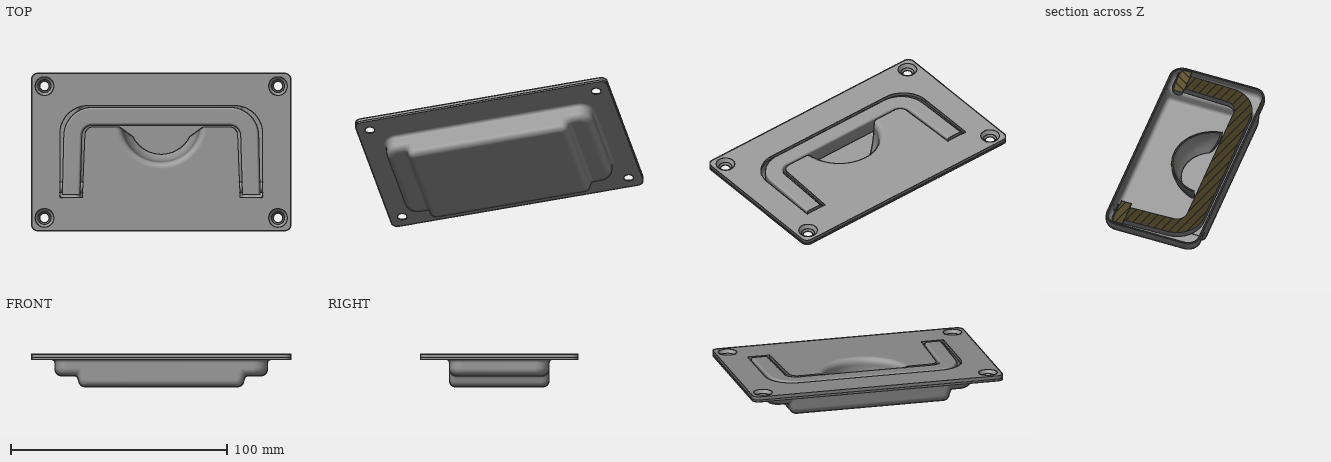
import cadquery as cq
import math

LENGTH = 120.0
WIDTH = 73.0
DEPTH = 15.1
CORNER_RADIUS = 3.0
PLATE_THICKNESS = 1.5
SHEET = 1.0

HOLE_INSET = 6.0
SCREW_HEAD_RADIUS = 4.3
SCREW_HOLE_RADIUS = 2.2

PAN_LENGTH = 98.4
PAN_WIDTH = 46.1
PAN_DEPTH = 10.1
PAN_CORNER_RADIUS = 6.0
PAN_FLOOR_RADIUS = 3.2
FLANGE_FILLET = 1.5
TROUGH_LENGTH = 77.8
TROUGH_CORNER_RADIUS = 3.0
TROUGH_FLOOR_RADIUS = 2.9
TROUGH_SIDE_ANGLE = 16.0
STEP_FILLET = 1.5

HANDLE_HEIGHT = 7.0
HANDLE_BACK = 20.6
HANDLE_FRONT = 12.4
HANDLE_FOOT = -19.7
HANDLE_OUTER_X = 44.8
LEG_WIDTH = 8.2
LEG_SPREAD = 1.0
HANDLE_OUTER_RADIUS = 13.2
HANDLE_INNER_RADIUS = 4.9
HANDLE_EDGE_FILLET = 1.1

SLOT_OUTER_X = 46.9
SLOT_BACK = 21.5
SLOT_FRONT = 11.6
SLOT_FOOT = -21.1
SLOT_INNER_X = 35.2
SLOT_INNER_FOOT_X = 36.5
SLOT_OUTER_RADIUS = 13.0
SLOT_INNER_RADIUS = 3.8

DISH_CENTRE_Y = 13.5
DISH_RIM_RADIUS = 21.4
DISH_THROAT_RADIUS = 18.4
DISH_FLOOR_RADIUS = 14.6
DISH_OPENING_HALF = 19.5
DISH_FLARE_HALF = 13.1
DISH_FLARE_Y = 7.1

PIN_DIAMETER = 5.0
PIN_LENGTH = 13.0
PIN_OUTER_END = 47.9
PIN_Y = -16.3

PICK_MARGIN = 0.1

flange_top = -PLATE_THICKNESS
flange_bottom = flange_top - SHEET
trough_floor = SHEET - DEPTH
hole_pitch_x = LENGTH - 2 * HOLE_INSET
hole_pitch_y = WIDTH - 2 * HOLE_INSET
pin_z = flange_top - PIN_DIAMETER / 2
pin_centre_x = PIN_OUTER_END - PIN_LENGTH / 2


def rounded_sheet(top, thickness):
    """Full-size plate with rounded corners, hanging below the given height."""
    sheet = cq.Workplane("XY").workplane(offset=top - thickness).rect(LENGTH, WIDTH).extrude(thickness)
    return sheet.edges("|Z").fillet(CORNER_RADIUS)


def screw_holes():
    """Four cones that narrow from the plate's top to the flange's underside."""
    cone = cq.Solid.makeCone(
        SCREW_HOLE_RADIUS, SCREW_HEAD_RADIUS, -flange_bottom, pnt=cq.Vector(0, 0, flange_bottom)
    )
    places = cq.Workplane("XY").rarray(hole_pitch_x, hole_pitch_y, 2, 2)
    return places.eachpoint(lambda place: cone.moved(place))


def tray_form(inset):
    """Pan and trough as one filled shape, shrunk by the inset on its sides and bottom."""
    half_width = PAN_WIDTH / 2 - inset
    pan_bottom = inset - PAN_DEPTH
    pan = (
        cq.Workplane("XY")
        .workplane(offset=pan_bottom)
        .rect(PAN_LENGTH - 2 * inset, 2 * half_width)
        .extrude(flange_top - pan_bottom)
        .edges("|Z")
        .fillet(PAN_CORNER_RADIUS - inset)
        .faces("<Z")
        .edges()
        .fillet(PAN_FLOOR_RADIUS - inset)
    )
    lean = math.tan(math.radians(TROUGH_SIDE_ANGLE))
    side_inset = inset / math.cos(math.radians(TROUGH_SIDE_ANGLE))

    def trough_half_length(z):
        return TROUGH_LENGTH / 2 - side_inset + lean * (z + PAN_DEPTH)

    bottom = inset - DEPTH
    top = flange_bottom - FLANGE_FILLET
    trough = (
        cq.Workplane("XZ")
        .moveTo(-trough_half_length(bottom), bottom)
        .lineTo(trough_half_length(bottom), bottom)
        .lineTo(trough_half_length(top), top)
        .lineTo(-trough_half_length(top), top)
        .close()
        .extrude(half_width, both=True)
    )
    trough = trough.edges("not(#Z or |X or |Y)").fillet(TROUGH_CORNER_RADIUS - inset)
    trough = trough.faces("<Z").edges().fillet(TROUGH_FLOOR_RADIUS - inset)
    form = pan.union(trough)
    for side in (-1, 1):
        step_edge = (side * trough_half_length(pan_bottom), 0, pan_bottom)
        form = form.edges(cq.selectors.NearestToPointSelector(step_edge)).fillet(STEP_FILLET + inset)
    return form


def make_tray():
    flange = rounded_sheet(flange_top, SHEET)
    tray = flange.union(tray_form(0))
    seam_box = cq.selectors.BoxSelector(
        (-PAN_LENGTH / 2 - PICK_MARGIN, -PAN_WIDTH / 2 - PICK_MARGIN, flange_bottom - PICK_MARGIN),
        (PAN_LENGTH / 2 + PICK_MARGIN, PAN_WIDTH / 2 + PICK_MARGIN, flange_bottom + PICK_MARGIN),
    )
    tray = tray.edges(seam_box).fillet(FLANGE_FILLET)
    return tray.cut(tray_form(SHEET)).cut(screw_holes())


def u_prism(outline, outer_radius, inner_radius, height):
    """U hanging below z = 0. Its outline runs along the right half from the inner to the outer corner."""
    mirrored = [(-x, y) for x, y in reversed(outline)]
    prism = cq.Workplane("XY").polyline(outline + mirrored).close().extrude(-height)
    inner_x, inner_y = outline[0]
    outer_x, outer_y = outline[-1]
    inner_corners = [(inner_x, inner_y, -height / 2), (-inner_x, inner_y, -height / 2)]
    outer_corners = [(outer_x, outer_y, -height / 2), (-outer_x, outer_y, -height / 2)]
    for corners, radius in ((inner_corners, inner_radius), (outer_corners, outer_radius)):
        for corner in corners:
            prism = prism.edges(cq.selectors.NearestToPointSelector(corner)).fillet(radius)
    return prism


def dish_form(offset):
    """Round bowl, grown by the offset: a rolled rim that curves down and inward to the trough floor."""
    rim_radius = DISH_RIM_RADIUS - DISH_THROAT_RADIUS
    throat = DISH_THROAT_RADIUS + offset
    floor_radius = DISH_FLOOR_RADIUS + offset
    wall_drop = -rim_radius - trough_floor
    wall_inset = throat - floor_radius
    wall_radius = (wall_inset**2 + wall_drop**2) / (2 * wall_inset)
    half_angle = math.asin(wall_drop / wall_radius) / 2
    wall_middle = (
        throat - wall_radius * (1 - math.cos(half_angle)),
        -rim_radius - wall_radius * math.sin(half_angle),
    )
    arc_radius = rim_radius - offset
    rim_middle = (
        DISH_RIM_RADIUS - arc_radius * math.sin(math.pi / 4),
        -rim_radius + arc_radius * math.cos(math.pi / 4),
    )
    bowl = (
        cq.Workplane("XZ")
        .moveTo(0, trough_floor)
        .lineTo(floor_radius, trough_floor)
        .threePointArc(wall_middle, (throat, -rim_radius))
        .threePointArc(rim_middle, (DISH_RIM_RADIUS, -offset))
        .lineTo(0, -offset)
        .close()
        .revolve(360, (0, 0, 0), (0, 1, 0))
        .translate((0, DISH_CENTRE_Y, 0))
    )
    front_part = (
        cq.Workplane("XY")
        .box(LENGTH, WIDTH, 2 * DEPTH)
        .translate((0, SLOT_FRONT - WIDTH / 2, 0))
    )
    return bowl.intersect(front_part)


def dish_flare():
    """Opening that widens from the dish toward the slot."""
    return (
        cq.Workplane("XY")
        .polyline(
            [
                (-DISH_OPENING_HALF, SLOT_FRONT),
                (-DISH_FLARE_HALF, DISH_FLARE_Y),
                (DISH_FLARE_HALF, DISH_FLARE_Y),
                (DISH_OPENING_HALF, SLOT_FRONT),
            ]
        )
        .close()
        .extrude(-DEPTH)
    )


def make_plate():
    slot_outline = [
        (SLOT_INNER_X, SLOT_FRONT),
        (SLOT_INNER_FOOT_X, SLOT_FOOT),
        (SLOT_OUTER_X, SLOT_FOOT),
        (SLOT_OUTER_X, SLOT_BACK),
    ]
    slot = u_prism(slot_outline, SLOT_OUTER_RADIUS, SLOT_INNER_RADIUS, PLATE_THICKNESS)
    plate = rounded_sheet(0, PLATE_THICKNESS).cut(screw_holes()).cut(slot)
    plate = plate.union(dish_form(SHEET))
    return plate.cut(dish_form(0)).cut(dish_flare())


def make_pin(side):
    """Pivot pin along X; the side is -1 for the left leg and 1 for the right leg."""
    start = side * pin_centre_x - PIN_LENGTH / 2
    return cq.Workplane("YZ", origin=(start, PIN_Y, pin_z)).circle(PIN_DIAMETER / 2).extrude(PIN_LENGTH)


def make_handle(pins):
    inner_x = HANDLE_OUTER_X - LEG_WIDTH
    handle_outline = [
        (inner_x, HANDLE_FRONT),
        (inner_x + LEG_SPREAD, HANDLE_FOOT),
        (HANDLE_OUTER_X + LEG_SPREAD, HANDLE_FOOT),
        (HANDLE_OUTER_X, HANDLE_BACK),
    ]
    handle = u_prism(handle_outline, HANDLE_OUTER_RADIUS, HANDLE_INNER_RADIUS, HANDLE_HEIGHT)
    handle = handle.faces(">Z").edges("not <Y").fillet(HANDLE_EDGE_FILLET)
    for pin in pins:
        handle = handle.cut(pin)
    return handle


plate = make_plate()
tray = make_tray()
pins = [make_pin(side) for side in (-1, 1)]
handle = make_handle(pins)

result = cq.Compound.makeCompound([plate.val(), tray.val(), handle.val(), *[pin.val() for pin in pins]])